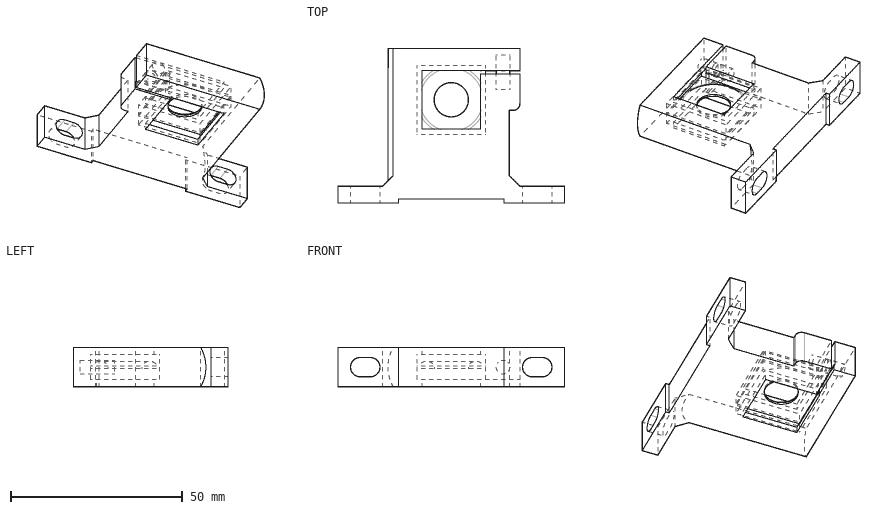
import cadquery as cq
import math

LENGTH = 66.0
DEPTH = 45.0
THICKNESS = 11.5
MID_X = LENGTH / 2
MID_Z = THICKNESS / 2

FOOT_DEPTH = 4.95
PAD_LENGTH = 17.7
PAD_HEIGHT = 1.1

BLOCK_WIDTH = 33.8
BLOCK_LEFT = MID_X - BLOCK_WIDTH / 2
BLOCK_RIGHT = MID_X + BLOCK_WIDTH / 2
GUSSET = 3.05
CROWN_HEIGHT = 1.5

NOSE_OVERHANG = 3.1
NOSE_RIGHT = BLOCK_RIGHT + NOSE_OVERHANG
NOSE_BOTTOM_Y = 26.9
NOSE_RADIUS = 2.0

SLOT_LENGTH = 8.5
SLOT_WIDTH = 5.55
SLOT_FROM_END = 8.0

WINDOW = 17.0
WINDOW_X = MID_X
WINDOW_Y = 30.0
LIP = 2.1
SEAT = 20.05

GAP = 1.0
GAP_STEP = 0.2
GAP_TOP_Y = WINDOW_Y + WINDOW / 2
GAP_BOTTOM_Y = GAP_TOP_Y - GAP

SCREW_DIAMETER = 3.95
SCREW_X = 48.05
SCREW_ENGAGEMENT = 4.5
SCREW_LENGTH = GAP + 2 * SCREW_ENGAGEMENT

PLATE = 0.65
PLATE_TOP = MID_Z + PLATE / 2
BORE_RADIUS = 4.95
CREST_RADIUS = 7.2
BEAD_HEIGHT = 1.4
FILLET_RADIUS = 1.0

INNER_RUN = CREST_RADIUS - BORE_RADIUS
BEAD_ARC_RADIUS = (INNER_RUN**2 + BEAD_HEIGHT**2) / (2 * BEAD_HEIGHT)
ARC_CENTRE_DISTANCE = BEAD_ARC_RADIUS + FILLET_RADIUS
OUTER_RUN = math.sqrt(ARC_CENTRE_DISTANCE**2 - (ARC_CENTRE_DISTANCE - BEAD_HEIGHT) ** 2)


def box(x_min, x_max, y_min, y_max, z_min, z_max):
    """Box between the given limits."""
    size = (x_max - x_min, y_max - y_min, z_max - z_min)
    return cq.Workplane("XY").box(*size, centered=False).translate((x_min, y_min, z_min))


def window_prism(side, z_min, z_max):
    """Square prism centred on the window axis."""
    half = side / 2
    return box(WINDOW_X - half, WINDOW_X + half, WINDOW_Y - half, WINDOW_Y + half, z_min, z_max)


def make_block_and_foot():
    """Foot, gussets, upright block and nose as one extruded outline."""
    gusset_top_y = FOOT_DEPTH + GUSSET
    return (
        cq.Workplane("XY")
        .moveTo(0, 0)
        .lineTo(PAD_LENGTH, 0)
        .lineTo(PAD_LENGTH, PAD_HEIGHT)
        .lineTo(LENGTH - PAD_LENGTH, PAD_HEIGHT)
        .lineTo(LENGTH - PAD_LENGTH, 0)
        .lineTo(LENGTH, 0)
        .lineTo(LENGTH, FOOT_DEPTH)
        .lineTo(BLOCK_RIGHT + GUSSET, FOOT_DEPTH)
        .lineTo(BLOCK_RIGHT, gusset_top_y)
        .lineTo(BLOCK_RIGHT, NOSE_BOTTOM_Y)
        .lineTo(NOSE_RIGHT - NOSE_RADIUS, NOSE_BOTTOM_Y)
        .radiusArc((NOSE_RIGHT, NOSE_BOTTOM_Y + NOSE_RADIUS), -NOSE_RADIUS)
        .lineTo(NOSE_RIGHT, DEPTH)
        .lineTo(BLOCK_LEFT, DEPTH)
        .lineTo(BLOCK_LEFT, gusset_top_y)
        .lineTo(BLOCK_LEFT - GUSSET, FOOT_DEPTH)
        .lineTo(0, FOOT_DEPTH)
        .close()
        .extrude(THICKNESS)
    )


def make_crown():
    """Crowned -X side of the block, running down into the gusset."""
    return (
        cq.Workplane("XZ", origin=(0, DEPTH, 0))
        .moveTo(BLOCK_LEFT, 0)
        .threePointArc((BLOCK_LEFT - CROWN_HEIGHT, MID_Z), (BLOCK_LEFT, THICKNESS))
        .close()
        .extrude(DEPTH - FOOT_DEPTH)
    )


def make_mounting_slots():
    """Cutters for the two slots through the foot along Y."""
    slot_offset = MID_X - SLOT_FROM_END
    return (
        cq.Workplane("XZ", origin=(MID_X, 0, MID_Z))
        .pushPoints([(-slot_offset, 0), (slot_offset, 0)])
        .slot2D(SLOT_LENGTH, SLOT_WIDTH)
        .extrude(-FOOT_DEPTH)
    )


def make_clamping_gap():
    """Cutter for the gap from the window out through the +X side."""
    upper = box(WINDOW_X, NOSE_RIGHT, GAP_BOTTOM_Y, GAP_TOP_Y, LIP, THICKNESS)
    lower = box(WINDOW_X, NOSE_RIGHT, GAP_BOTTOM_Y, GAP_TOP_Y - GAP_STEP, 0, LIP)
    return upper.union(lower)


def make_screw():
    """Plain screw shank along Y, engaged equally on both sides of the gap."""
    return (
        cq.Workplane("XZ", origin=(SCREW_X, GAP_BOTTOM_Y - SCREW_ENGAGEMENT, MID_Z))
        .circle(SCREW_DIAMETER / 2)
        .extrude(-SCREW_LENGTH)
    )


def make_housing(screw):
    """Clamp housing with a hole that matches the screw."""
    return (
        make_block_and_foot()
        .union(make_crown())
        .cut(make_mounting_slots())
        .cut(window_prism(WINDOW, 0, THICKNESS))
        .cut(window_prism(SEAT, LIP, THICKNESS - LIP))
        .cut(make_clamping_gap())
        .cut(screw)
    )


def make_bead():
    """Raised bead on the plate: a convex arc blending into a concave foot fillet."""
    foot_tilt = math.asin(OUTER_RUN / ARC_CENTRE_DISTANCE)
    blend_radius = CREST_RADIUS + BEAD_ARC_RADIUS * math.sin(foot_tilt)
    blend_height = FILLET_RADIUS * (1 - math.cos(foot_tilt))
    return (
        cq.Workplane("XZ")
        .moveTo(BORE_RADIUS, 0)
        .threePointArc((CREST_RADIUS, BEAD_HEIGHT), (blend_radius, blend_height))
        .radiusArc((CREST_RADIUS + OUTER_RUN, 0), -FILLET_RADIUS)
        .close()
        .revolve(360, (0, 0, 0), (0, 1, 0))
        .translate((WINDOW_X, WINDOW_Y, PLATE_TOP))
    )


def make_seal():
    """Seal plate filling the seat, with its bore and bead."""
    plate = window_prism(SEAT, PLATE_TOP - PLATE, PLATE_TOP)
    bore = cq.Workplane("XY").circle(BORE_RADIUS).extrude(THICKNESS).translate((WINDOW_X, WINDOW_Y, 0))
    return plate.cut(bore).union(make_bead())


screw = make_screw()
housing = make_housing(screw)
seal = make_seal()

result = cq.Compound.makeCompound([body.solids().val() for body in (housing, seal, screw)])